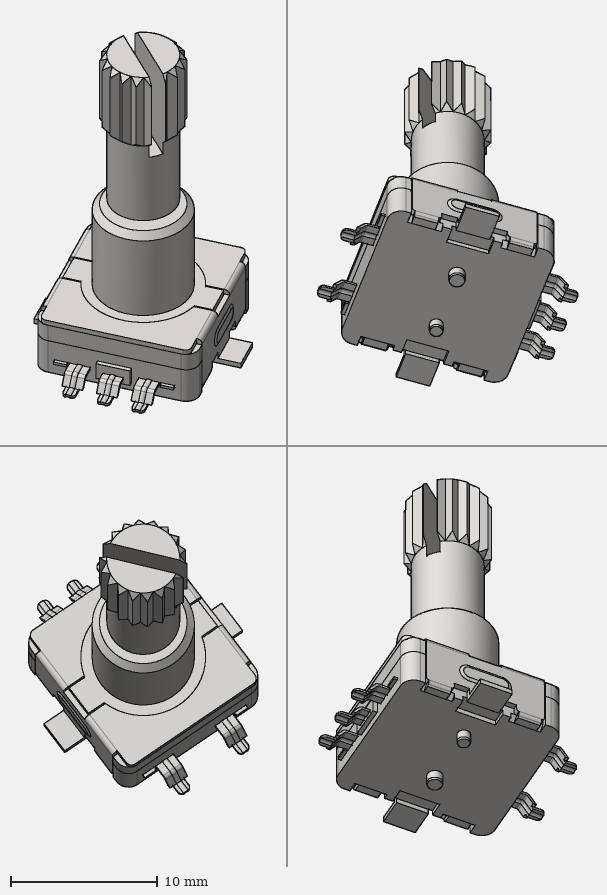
import cadquery as cq
import math

overall_x, overall_y, overall_z = 15.0, 17.0, 25.3
body_x, body_y = 11.7, 12.0
body_corner = 1.0
parting_z = 2.75
cover_top = 4.5
sheet = 0.4
block_top = cover_top - sheet
inner_x = body_x / 2 - sheet

wall_half = 4.5
wall_gap = 0.08
cover_corner = 0.45
arm_half = 1.15
arm_slot_half = 1.25
boss_radius = 4.28
lug_height = sheet
lug_reach = overall_x / 2
lug_half = 1.21
notch_outer, notch_top = 2.38, 0.94
wall_corner = 0.2
lug_recess_half, lug_recess_x = 1.52, 4.3
claw_recess_inner = 2.15
dimple_straight_half = 1.25
dimple_width, dimple_top_width = 1.47, 0.95
dimple_z, dimple_height = 2.4, 0.1

pin_length, pin_tip, pin_tip_inset = 0.8, 0.15, 0.05
locating_pins = [(-2.0, 1.15), (2.48, 0.95)]
block_width, block_bottom, block_height, block_out = 2.48, 0.65, 1.26, 0.33

bushing_diameter, bushing_top, bushing_chamfer = 7.0, 11.5, 0.5
neck_diameter, shaft_diameter = 3.0, 5.0
shaft_top = overall_z - pin_length
shoulder_z, knurl_bottom = 12.0, 18.5
knurl_teeth, knurl_radius = 18, 3.0
slot_width, slot_floor, slot_angle = 1.0, 17.5, -50

terminal_pitch = 2.5
terminal_width, terminal_thickness = 1.5, 0.2
terminal_top, foot_top = 1.21, 0.43
terminal_root, terminal_end = 5.05, overall_y / 2
bend_at, foot_at = 6.98, 7.6
bend_radius = 0.25
foot_width, foot_corner = 0.9, 0.33
rib_width, rib_height = 0.4, 0.08
wing_inner, wing_outer, wing_out = 0.89, 1.85, 0.25
wing_link = 0.08


def box(x0, x1, y0, y1, z0, z1):
    """Box given by its limits along the three axes."""
    return cq.Workplane("XY").box(x1 - x0, y1 - y0, z1 - z0, centered=False).translate((x0, y0, z0))


def both_ends(solid):
    """The solid joined with its mirror image across the YZ plane."""
    return solid.union(solid.mirror("YZ"))


def make_shaft():
    neck = cq.Workplane("XY").workplane(offset=parting_z).circle(neck_diameter / 2)
    neck = neck.extrude(shoulder_z - parting_z)
    stem = cq.Workplane("XY").workplane(offset=shoulder_z).circle(shaft_diameter / 2)
    stem = stem.extrude(knurl_bottom - shoulder_z)

    tooth_points = []
    for i in range(2 * knurl_teeth):
        radius = knurl_radius if i % 2 == 0 else shaft_diameter / 2
        angle = math.pi * i / knurl_teeth
        tooth_points.append((radius * math.cos(angle), radius * math.sin(angle)))
    knurl_length = shaft_top - knurl_bottom
    knurl = cq.Workplane("XY").workplane(offset=knurl_bottom).polyline(tooth_points).close()
    knurl = knurl.extrude(knurl_length)
    envelope = cq.Workplane("XY").workplane(offset=knurl_bottom).circle(knurl_radius)
    envelope = envelope.extrude(knurl_length).edges().chamfer(knurl_radius - shaft_diameter / 2)

    slot_half = slot_width / 2
    slot = box(-knurl_radius, knurl_radius, -slot_half, slot_half, slot_floor, shaft_top)
    slot = slot.rotate((0, 0, 0), (0, 0, 1), slot_angle)
    return stem.union(neck).union(knurl.intersect(envelope)).cut(slot)


def body_block(z0, z1):
    """Rounded block with a flat recess for the cover wall on each X side."""
    block = cq.Workplane("XY").workplane(offset=z0).rect(body_x, body_y).extrude(z1 - z0)
    block = block.edges("|Z").fillet(body_corner)
    recess_half = wall_half + wall_gap
    recess = box(inner_x, body_x / 2, -recess_half, recess_half, z0, z1)
    return block.cut(both_ends(recess))


def boss_with_arms(half_width):
    """Round boss with an arm to each X side, as thick as the cover."""
    boss = cq.Workplane("XY").workplane(offset=block_top).circle(boss_radius).extrude(sheet)
    return boss.union(box(-inner_x, inner_x, -half_width, half_width, block_top, cover_top))


def make_bushing():
    barrel = cq.Workplane("XY").workplane(offset=block_top).circle(bushing_diameter / 2)
    barrel = barrel.extrude(bushing_top - block_top).faces(">Z").chamfer(bushing_chamfer)
    bore = cq.Workplane("XY").workplane(offset=parting_z).circle(neck_diameter / 2)
    bore = bore.extrude(bushing_top - parting_z)
    bushing = body_block(parting_z, block_top).union(boss_with_arms(arm_half))
    return bushing.union(barrel).cut(bore)


def make_claw(y0, y1):
    """Lower edge of the +X wall, bent in at 45 degrees onto the sloping recess in the base."""
    outer_bend = sheet * math.sqrt(0.5)
    return (
        cq.Workplane("XZ", origin=(0, y1, 0))
        .moveTo(body_x / 2, sheet)
        .radiusArc((inner_x + outer_bend, sheet - outer_bend), sheet)
        .lineTo(inner_x + 2 * outer_bend - sheet, 0)
        .lineTo(inner_x - sheet, 0)
        .lineTo(inner_x, sheet)
        .close()
        .extrude(y1 - y0)
    )


def make_dimple():
    """Raised oblong with sloping sides on the +X wall."""
    base_length = 2 * dimple_straight_half + dimple_width
    top_length = 2 * dimple_straight_half + dimple_top_width
    return (
        cq.Workplane("YZ", origin=(body_x / 2, 0, dimple_z))
        .slot2D(base_length, dimple_width)
        .workplane(offset=dimple_height)
        .slot2D(top_length, dimple_top_width)
        .loft(ruled=True)
    )


def make_wall():
    """Flat +X wall: rounded lower corners, and a notch on each side of the central lug."""
    return (
        cq.Workplane("YZ", origin=(inner_x, 0, 0))
        .moveTo(0, block_top)
        .lineTo(wall_half, block_top)
        .lineTo(wall_half, lug_height + wall_corner)
        .radiusArc((wall_half - wall_corner, lug_height), wall_corner)
        .lineTo(notch_outer + wall_corner, lug_height)
        .radiusArc((notch_outer, lug_height + wall_corner), wall_corner)
        .lineTo(notch_outer, notch_top)
        .lineTo(lug_half, notch_top)
        .lineTo(lug_half, 0)
        .lineTo(0, 0)
        .mirrorY()
        .extrude(sheet)
    )


def make_top_bend(y0, y1):
    """Quarter-round bend between the top plate and the +X wall."""
    bend = cq.Workplane("XZ", origin=(0, y1, 0)).moveTo(inner_x, block_top)
    bend = bend.lineTo(body_x / 2, block_top).radiusArc((inner_x, cover_top), -sheet).close()
    return bend.extrude(y1 - y0)


def make_cover():
    plate = cq.Workplane("XY").workplane(offset=block_top).rect(2 * inner_x, body_y).extrude(sheet)
    plate = plate.edges("|Z").fillet(cover_corner)
    plate = plate.cut(boss_with_arms(arm_slot_half))

    lug = box(body_x / 2, lug_reach, -lug_half, lug_half, 0, lug_height)
    side = make_wall().union(lug).union(make_dimple())
    claw_start = notch_outer + wall_corner
    claw_end = wall_half - wall_corner
    for y0, y1 in ((claw_start, claw_end), (-claw_end, -claw_start)):
        side = side.union(make_claw(y0, y1))
    for y0, y1 in ((arm_slot_half, wall_half), (-wall_half, -arm_slot_half)):
        side = side.union(make_top_bend(y0, y1))
    return plate.union(both_ends(side))


def make_terminal(wing_side):
    """Terminal on the -Y side at X = 0; wing_side is -1 or 1 for a wing on that side, 0 for none."""
    middle = terminal_top - terminal_thickness / 2
    drop = terminal_top - foot_top
    slope = math.atan2(drop, foot_at - bend_at)
    tangent = bend_radius * math.tan(slope / 2)
    path = (
        cq.Workplane("YZ")
        .moveTo(-terminal_root, middle)
        .lineTo(tangent - bend_at, middle)
        .radiusArc(
            (-bend_at - tangent * math.cos(slope), middle - tangent * math.sin(slope)), -bend_radius
        )
        .lineTo(-foot_at, middle - drop)
        .lineTo(-terminal_end, middle - drop)
    )
    half_width = terminal_width / 2
    half_rib = rib_width / 2
    half_thick = terminal_thickness / 2
    section = (
        cq.Workplane("XZ", origin=(0, -terminal_root, middle))
        .moveTo(-half_width, -half_thick)
        .lineTo(-half_rib, -half_thick)
        .threePointArc((0, rib_height - half_thick), (half_rib, -half_thick))
        .lineTo(half_width, -half_thick)
        .lineTo(half_width, half_thick)
        .lineTo(half_rib, half_thick)
        .threePointArc((0, half_thick + rib_height), (-half_rib, half_thick))
        .lineTo(-half_width, half_thick)
        .close()
    )
    strip = section.sweep(path, transition="right")

    top = terminal_top + rib_height
    tongue = box(-foot_width / 2, foot_width / 2, -terminal_end, -terminal_root, 0, top)
    tongue = tongue.faces("<Y").edges("|Z").fillet(foot_corner)
    shoulders = box(-half_width, half_width, -terminal_end, -terminal_root, foot_top, top)
    terminal = strip.intersect(tongue.union(shoulders))
    if wing_side == 0:
        return terminal
    bottom = terminal_top - terminal_thickness
    link = box(half_rib, wing_outer, -body_y / 2 - wing_link, -terminal_root, bottom, terminal_top)
    wing = box(wing_inner, wing_outer, -body_y / 2 - wing_out, -terminal_root, bottom, terminal_top)
    wing = wing.union(link)
    if wing_side < 0:
        wing = wing.mirror("YZ")
    return terminal.union(wing)


def make_terminals():
    """Three terminals on the -Y side and two on the +Y side, wings pointing outward."""
    terminals = []
    for column in (-1, 0, 1):
        terminals.append(make_terminal(column).translate((column * terminal_pitch, 0, 0)))
    for column in (-1, 1):
        rear = make_terminal(column).mirror("XZ")
        terminals.append(rear.translate((column * terminal_pitch, 0, 0)))
    return terminals


def make_pin(x, diameter):
    """Locating pin under the base with a tapered tip."""
    radius = diameter / 2
    return (
        cq.Workplane("XZ")
        .polyline([
            (0, 0),
            (radius, 0),
            (radius, pin_tip - pin_length),
            (radius - pin_tip_inset, -pin_length),
            (0, -pin_length),
        ])
        .close()
        .revolve(360, (0, 0, 0), (0, 1, 0))
        .translate((x, 0, 0))
    )


def make_claw_recess(y0, y1):
    """45 degree undercut on the +X side that the claw is bent onto."""
    return (
        cq.Workplane("XZ", origin=(0, y1, 0))
        .polyline([(inner_x, 0), (inner_x, sheet), (inner_x - sheet, 0)])
        .close()
        .extrude(y1 - y0)
    )


def make_base(terminals):
    base = body_block(0, parting_z)
    recess_end = wall_half + wall_gap
    recesses = [
        box(lug_recess_x, body_x / 2, -lug_recess_half, lug_recess_half, 0, lug_height),
        make_claw_recess(claw_recess_inner, recess_end),
        make_claw_recess(-recess_end, -claw_recess_inner),
    ]
    for recess in recesses:
        base = base.cut(both_ends(recess))
    front = -body_y / 2
    block_half = block_width / 2
    block_top_z = block_bottom + block_height
    base = base.union(
        box(-block_half, block_half, front - block_out, front, block_bottom, block_top_z)
    )
    for x, diameter in locating_pins:
        base = base.union(make_pin(x, diameter))
    for terminal in terminals:
        base = base.cut(terminal)
    return base


shaft = make_shaft()
bushing = make_bushing()
cover = make_cover()
terminals = make_terminals()
base = make_base(terminals)

result = cq.Compound.makeCompound([
    shaft.val(),
    bushing.val(),
    cover.val(),
    base.val(),
    *[terminal.val() for terminal in terminals],
])